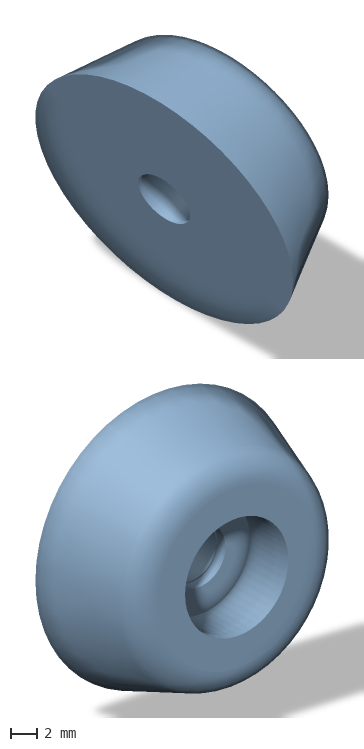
import cadquery as cq

HEIGHT = 9.0
BASE_RADIUS = 25.0 / 2
TIP_RADIUS = 19.0 / 2
TIP_FILLET = 2.5
BORE_RADIUS = 5.0 / 2

WASHER_BORE_RADIUS = 5.3 / 2
WASHER_OUTER_RADIUS = 10.0 / 2
WASHER_THICKNESS = 1.0
SEAT_Y = 3.2


def revolve_about_y(profile):
    """Solid of revolution about the Y axis from (radius, y) points."""
    axis_start = (0, 0, 0)
    axis_end = (0, 1, 0)
    return cq.Workplane("XY").polyline(profile).close().revolve(360, axis_start, axis_end)


def cylinder(radius, y_start, y_end):
    """Round bar on the Y axis between two Y positions."""
    return revolve_about_y([(0, y_start), (radius, y_start), (radius, y_end), (0, y_end)])


def make_foot():
    """Tapered body with a rounded narrow end, a through bore and a washer counterbore."""
    body = revolve_about_y([(0, 0), (BASE_RADIUS, 0), (TIP_RADIUS, HEIGHT), (0, HEIGHT)])
    body = body.faces(">Y").edges().fillet(TIP_FILLET)
    bore = cylinder(BORE_RADIUS, 0, HEIGHT)
    counterbore = cylinder(WASHER_OUTER_RADIUS, SEAT_Y, HEIGHT)
    return body.cut(bore).cut(counterbore)


def make_washer():
    """Flat ring that fills the counterbore's width and rests on its seat."""
    washer_top = SEAT_Y + WASHER_THICKNESS
    disc = cylinder(WASHER_OUTER_RADIUS, SEAT_Y, washer_top)
    hole = cylinder(WASHER_BORE_RADIUS, SEAT_Y, washer_top)
    return disc.cut(hole)


foot = make_foot()
washer = make_washer()

result = cq.Compound.makeCompound([foot.solids().val(), washer.solids().val()])